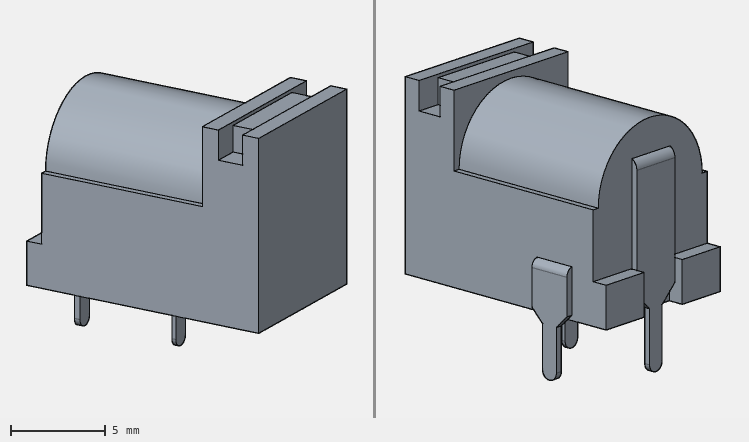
import cadquery as cq
import math

HOUSING_LENGTH = 14.4
HOUSING_WIDTH = 9.0
HOUSING_HEIGHT = 11.0
COLLAR_LENGTH = 3.5
BARREL_RADIUS = 4.1
BARREL_TOP = 10.6
BARREL_AXIS_HEIGHT = BARREL_TOP - BARREL_RADIUS

SLOT_WIDTH = 1.5
SLOT_DEPTH = 1.7
KEY_LENGTH = 6.0
KEY_DROP = 0.2

PIN_LENGTH = 3.5
PIN_WIDTH = 1.0
PIN_PITCH = 3.0
REAR_PIN_X = 0.7
SIDE_PIN_X = REAR_PIN_X + PIN_PITCH
INNER_PIN_X = SIDE_PIN_X + PIN_PITCH
INNER_PIN_THICKNESS = 0.25

REAR_THICKNESS = 0.35
REAR_GAP = 0.05
REAR_WIDTH = 3.0
REAR_TOP = 8.65
REAR_NECK_BOTTOM = 0.12
REAR_ROUNDING = 0.65

SIDE_THICKNESS = 0.4
SIDE_WIDTH = 2.5
SIDE_TOP = 3.0
SIDE_NECK_BOTTOM = -0.45
SIDE_ROUNDING = 0.5

FOOT_HEIGHT = 2.5
REAR_FACE_X = REAR_PIN_X + REAR_THICKNESS / 2 + REAR_GAP


def block(x_min, x_max, width, z_min, z_max):
    """Box centred on y = 0."""
    box = cq.Workplane("XY").box(x_max - x_min, width, z_max - z_min, centered=(False, True, False))
    return box.translate((x_min, 0, z_min))


def make_housing():
    collar_x = HOUSING_LENGTH - COLLAR_LENGTH
    base = block(REAR_FACE_X, HOUSING_LENGTH, HOUSING_WIDTH, 0, BARREL_AXIS_HEIGHT)
    collar = block(collar_x, HOUSING_LENGTH, HOUSING_WIDTH, 0, HOUSING_HEIGHT)
    barrel = (
        cq.Workplane("YZ", origin=(REAR_FACE_X, 0, BARREL_AXIS_HEIGHT))
        .circle(BARREL_RADIUS)
        .extrude(collar_x - REAR_FACE_X)
    )
    feet = block(0, REAR_FACE_X, HOUSING_WIDTH, 0, FOOT_HEIGHT)
    notch = block(0, REAR_FACE_X, REAR_WIDTH, 0, FOOT_HEIGHT)
    return base.union(collar).union(barrel).union(feet.cut(notch))


def cut_collar_slot(housing):
    slot_start = HOUSING_LENGTH - (COLLAR_LENGTH + SLOT_WIDTH) / 2
    slot_end = slot_start + SLOT_WIDTH
    slot_floor = HOUSING_HEIGHT - SLOT_DEPTH
    slot = block(slot_start, slot_end, HOUSING_WIDTH, slot_floor, HOUSING_HEIGHT)
    key = block(slot_start, slot_end, KEY_LENGTH, slot_floor, HOUSING_HEIGHT - KEY_DROP)
    return housing.cut(slot.cut(key))


def make_pin(thickness, top):
    """Round-tipped pin, outer face on x = 0, reaching from below the board up to top."""
    half_pin = PIN_WIDTH / 2
    tip_start = half_pin - PIN_LENGTH
    return (
        cq.Workplane("YZ")
        .moveTo(-half_pin, top)
        .lineTo(-half_pin, tip_start)
        .threePointArc((0, -PIN_LENGTH), (half_pin, tip_start))
        .lineTo(half_pin, top)
        .close()
        .extrude(thickness)
    )


def make_terminal(width, thickness, top, neck_bottom, rounding):
    """Flat blade with a tapered neck and pin; the outer top edge is rounded back to the inner face."""
    half_width = width / 2
    half_pin = PIN_WIDTH / 2
    neck_top = neck_bottom + half_width - half_pin
    blade = (
        cq.Workplane("YZ")
        .polyline([
            (-half_pin, neck_bottom),
            (half_pin, neck_bottom),
            (half_width, neck_top),
            (half_width, top),
            (-half_width, top),
            (-half_width, neck_top),
        ])
        .close()
        .extrude(thickness)
    )
    arc_angle = math.acos(1 - thickness / rounding)
    arc_start = top - rounding * math.sin(arc_angle)
    arc_middle = (
        rounding * (1 - math.cos(arc_angle / 2)),
        arc_start + rounding * math.sin(arc_angle / 2),
    )
    side_profile = (
        cq.Workplane("XZ")
        .moveTo(0, neck_bottom)
        .lineTo(0, arc_start)
        .threePointArc(arc_middle, (thickness, top))
        .lineTo(thickness, neck_bottom)
        .close()
        .extrude(half_width, both=True)
    )
    return blade.intersect(side_profile).union(make_pin(thickness, neck_bottom))


def make_rear_terminal():
    terminal = make_terminal(REAR_WIDTH, REAR_THICKNESS, REAR_TOP, REAR_NECK_BOTTOM, REAR_ROUNDING)
    return terminal.translate((REAR_PIN_X - REAR_THICKNESS / 2, 0, 0))


def make_side_terminal():
    terminal = make_terminal(SIDE_WIDTH, SIDE_THICKNESS, SIDE_TOP, SIDE_NECK_BOTTOM, SIDE_ROUNDING)
    facing_housing = terminal.rotate((0, 0, 0), (0, 0, 1), -90)
    return facing_housing.translate((SIDE_PIN_X, HOUSING_WIDTH / 2 + SIDE_THICKNESS, 0))


def make_inner_pin():
    pin = make_pin(INNER_PIN_THICKNESS, 0)
    return pin.translate((INNER_PIN_X - INNER_PIN_THICKNESS / 2, 0, 0))


housing = cut_collar_slot(make_housing())
result = housing.union(make_rear_terminal()).union(make_side_terminal()).union(make_inner_pin())